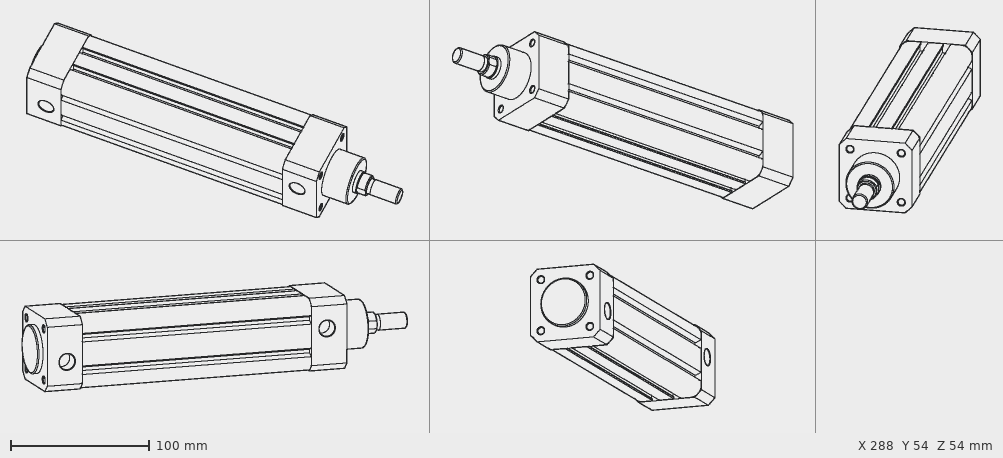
import cadquery as cq

overall_length = 288.0
rear_boss_length = 4.0
cap_length = 27.0
tube_length = 175.7
front_boss_length = 20.2

cap_width = 54.0
cap_corner_chamfer = 5.2
boss_diameter = 35.7
boss_chamfer = 1.0
screw_spacing = 38.0
screw_hole_diameter = 5.0
screw_hole_depth = 11.5
screw_countersink = 0.5
port_diameter = 11.8
port_depth = 11.5
port_lip_chamfer = 0.43
port_offset = 5.0
port_to_tube = 11.8

tube_width = 53.5
tube_corner_radius = 8.0
slot_width = 5.2
slot_depth = 7.0
slot_lip = 1.5
slot_inner_width = 7.0
slot_offset = 8.4
groove_mouth_width = 6.3
groove_floor_width = 2.5
groove_depth = 4.5
groove_offset = 12.0

collar_diameter = 16.7
collar_length = 2.5
wrench_diameter = 15.5
wrench_length = 7.5
wrench_flat_width = 14.5
wrench_chamfer = 0.72
neck_length = 3.0
neck_diameter = 11.5
thread_diameter = 11.8
rod_chamfer = 1.0

rear_cap_start = rear_boss_length
tube_start = rear_cap_start + cap_length
tube_end = tube_start + tube_length
front_cap_end = tube_end + cap_length
rod_start = front_cap_end + front_boss_length


def cylinder(start, length, diameter):
    """Solid cylinder along +X on the axis, starting at X = start."""
    return cq.Workplane("YZ", origin=(start, 0, 0)).circle(diameter / 2).extrude(length)


def make_screw_holes():
    """Four screw holes, countersunk where they open on the boss side of a cap."""
    hole_radius = screw_hole_diameter / 2
    mouth_radius = hole_radius + screw_countersink
    hole = (
        cq.Workplane("XY")
        .moveTo(cap_length - screw_hole_depth, 0)
        .lineTo(cap_length - screw_hole_depth, hole_radius)
        .lineTo(cap_length - screw_countersink, hole_radius)
        .lineTo(cap_length, mouth_radius)
        .lineTo(cap_length, 0)
        .close()
        .revolve(360, (0, 0, 0), (1, 0, 0))
    )
    holes = cq.Workplane("XY")
    for y in (-screw_spacing / 2, screw_spacing / 2):
        for z in (-screw_spacing / 2, screw_spacing / 2):
            holes = holes.add(hole.translate((0, y, z)))
    return holes.combine()


def make_port():
    """Air port sunk into the -Y side of a cap, with a chamfered lip."""
    radius = port_diameter / 2
    return (
        cq.Workplane("XY")
        .lineTo(radius + port_lip_chamfer, 0)
        .lineTo(radius, port_lip_chamfer)
        .lineTo(radius, port_depth)
        .lineTo(0, port_depth)
        .close()
        .revolve(360, (0, 0, 0), (0, 1, 0))
        .translate((port_to_tube, -cap_width / 2, port_offset))
    )


def make_cap(boss_length):
    """End cap with its tube-side face at X = 0 and its boss toward +X."""
    cap = (
        cq.Workplane("YZ")
        .rect(cap_width, cap_width)
        .extrude(cap_length)
        .edges("|X")
        .chamfer(cap_corner_chamfer)
    )
    boss = cylinder(cap_length, boss_length, boss_diameter).faces(">X").chamfer(boss_chamfer)
    return cap.union(boss).cut(make_screw_holes()).cut(make_port())


def make_slot():
    """T-slot cutter along the tube, sunk below Z = 0 and mirrored above it."""
    slot = cq.Workplane("YZ").rect(slot_width, 2 * slot_depth).extrude(tube_length)
    inner_height = slot_depth - slot_lip
    inner_middle = (slot_depth + slot_lip) / 2
    for side in (-1, 1):
        inner = cq.Workplane("YZ").center(0, side * inner_middle).rect(slot_inner_width, inner_height)
        slot = slot.union(inner.extrude(tube_length))
    return slot


def make_tube():
    """Extruded tube with two T-slots top and bottom and two grooves on each side."""
    half_width = tube_width / 2
    tube = (
        cq.Workplane("YZ")
        .rect(tube_width, tube_width)
        .extrude(tube_length)
        .edges("|X")
        .fillet(tube_corner_radius)
    )
    slot = make_slot()
    groove = (
        cq.Workplane("YZ")
        .moveTo(-half_width, -groove_mouth_width / 2)
        .lineTo(-half_width + groove_depth, -groove_floor_width / 2)
        .lineTo(-half_width + groove_depth, groove_floor_width / 2)
        .lineTo(-half_width, groove_mouth_width / 2)
        .close()
        .extrude(tube_length)
    )
    for side in (-1, 1):
        for face in (-half_width, half_width):
            tube = tube.cut(slot.translate((0, side * slot_offset, face)))
        left_groove = groove.translate((0, 0, side * groove_offset))
        tube = tube.cut(left_groove).cut(left_groove.mirror("XZ"))
    return tube.translate((tube_start, 0, 0))


def make_rod():
    """Rod end: collar, wrench section with two flats, neck and chamfered thread."""
    wrench_start = rod_start + collar_length
    neck_start = wrench_start + wrench_length
    thread_start = neck_start + neck_length
    collar = cylinder(rod_start, collar_length, collar_diameter)
    flats = (
        cq.Workplane("YZ", origin=(wrench_start, 0, 0))
        .rect(wrench_flat_width, wrench_diameter)
        .extrude(wrench_length)
    )
    wrench = cylinder(wrench_start, wrench_length, wrench_diameter).edges().chamfer(wrench_chamfer)
    wrench = wrench.intersect(flats)
    neck = cylinder(neck_start, neck_length, neck_diameter)
    thread = cylinder(thread_start, overall_length - thread_start, thread_diameter)
    thread = thread.faces(">X").chamfer(rod_chamfer)
    return collar.union(wrench).union(neck).union(thread)


front_cap = make_cap(front_boss_length).translate((tube_end, 0, 0))
rear_cap = make_cap(rear_boss_length).rotate((0, 0, 0), (0, 1, 0), 180).translate((tube_start, 0, 0))
tube = make_tube()
rod = make_rod()

result = cq.Compound.makeCompound([rear_cap.val(), tube.val(), front_cap.val(), rod.val()])